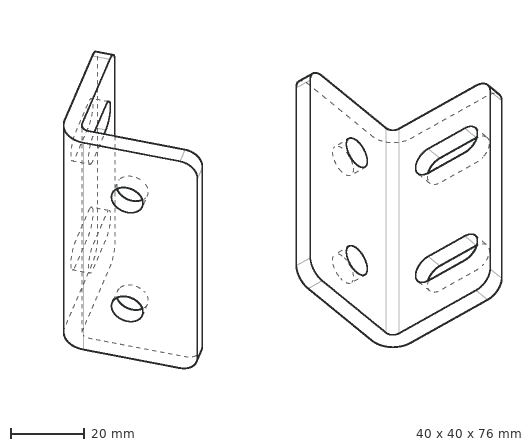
import cadquery as cq

height = 76.0
leg_length = 40.0
thickness = 5.0
inner_bend_radius = 2.5
outer_bend_radius = inner_bend_radius + thickness
corner_radius = 5.0

hole_diameter = 9.0
hole_spacing = 40.0
hole_x = leg_length / 2
slot_length = 22.0
slot_y = 24.5

hole_levels = [height / 2 - hole_spacing / 2, height / 2 + hole_spacing / 2]


def bent_plate():
    """L-shaped plate with a rounded bend, one leg along X and one along Y."""
    plate = (
        cq.Workplane("XY")
        .polyline([
            (0, 0),
            (leg_length, 0),
            (leg_length, thickness),
            (thickness, thickness),
            (thickness, leg_length),
            (0, leg_length),
        ])
        .close()
        .extrude(height)
    )
    plate = plate.edges(cq.selectors.NearestToPointSelector((0, 0, height / 2))).fillet(outer_bend_radius)
    inner_corner = (thickness, thickness, height / 2)
    return plate.edges(cq.selectors.NearestToPointSelector(inner_corner)).fillet(inner_bend_radius)


def round_free_corners(plate):
    """Round the top and bottom corners at the free end of each leg."""
    plate = plate.faces(">X").edges("|Y").fillet(corner_radius)
    return plate.faces(">Y").edges("|X").fillet(corner_radius)


def round_holes():
    """Cutters through the leg along X; the XZ plane normal points to -Y."""
    return (
        cq.Workplane("XZ")
        .pushPoints([(hole_x, z) for z in hole_levels])
        .circle(hole_diameter / 2)
        .extrude(-thickness)
    )


def slots():
    """Horizontal slot cutters through the leg along Y."""
    return (
        cq.Workplane("YZ")
        .pushPoints([(slot_y, z) for z in hole_levels])
        .slot2D(slot_length, hole_diameter)
        .extrude(thickness)
    )


result = round_free_corners(bent_plate()).cut(round_holes()).cut(slots())